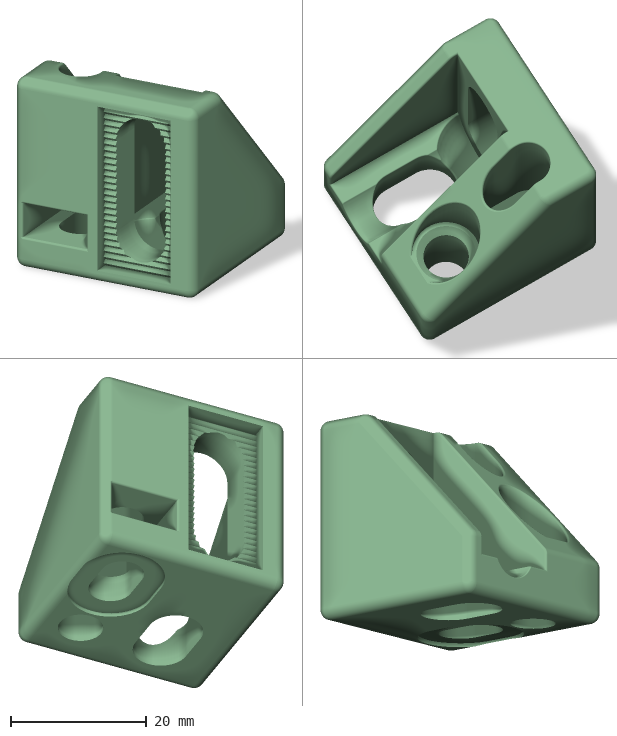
import cadquery as cq
import math

SIZE = 30.0
LAND = 9.0
EDGE_RADIUS = 1.5
EDGE_BREAK = 0.3
BORE_BREAK = 0.25
FLOOR_BREAK = 0.18
NEAR = 0.03

SMALL_X = 7.0
LARGE_X = 20.0

POCKET_WIDTH = 14.22
WALL = 8.0
FLOOR = 6.0

LARGE_SLOT_WIDTH = 8.22
FRONT_SLOT_LENGTH = 22.65
BASE_SLOT_LENGTH = 13.3
BASE_SLOT_Y = 19.65
DOME_RADIUS = 7.0

RECESS_HEIGHT = 26.0
TOOTH_COUNT = 26
TOOTH_PITCH = RECESS_HEIGHT / TOOTH_COUNT
TOOTH_HEIGHT = TOOTH_PITCH / 2
RECESS_WIDTH = 12.18
RECESS_DEPTH = 2.0

SMALL_SLOT_WIDTH = 6.48
SMALL_SLOT_LENGTH = 10.5
SMALL_SLOT_Y = 10.1
SLOT_RECESS_WIDTH = 12.65
SLOT_RECESS_DEPTH = 0.6

WINDOW_WIDTH = 10.65
WINDOW_HEIGHT = 5.43
WINDOW_BOTTOM = 4.98
WINDOW_DEPTH = 17.4

HOLE_Y = 22.3
HOLE_DIAMETER = 6.7
SEAT_DIAMETER = 8.75
SEAT_ANGLE = 45
COUNTERBORE_DIAMETER = 10.05
COUNTERBORE_FLOOR = 11.95


def box(x_range, y_range, z_range):
    """Axis-aligned block between the given limits."""
    (x0, x1), (y0, y1), (z0, z1) = x_range, y_range, z_range
    return cq.Workplane("XY").box(x1 - x0, y1 - y0, z1 - z0, centered=False).translate((x0, y0, z0))


def centred(middle, width):
    """Limits of a span of the given width around its middle."""
    return middle - width / 2, middle + width / 2


def upright_slot(x, y, length, width):
    """Slot along Y that passes vertically through the body."""
    return cq.Workplane("XY").center(x, y).slot2D(length, width, 90).extrude(SIZE)


def upright_cylinder(diameter, bottom, height):
    """Vertical cylinder on the axis of the counterbored hole."""
    return cq.Workplane("XY", origin=(SMALL_X, HOLE_Y, bottom)).circle(diameter / 2).extrude(height)


def edges_in(x_range, y_range, z_range):
    """Selector of the edges whose centre lies inside the given limits."""
    return cq.selectors.BoxSelector(*zip(x_range, y_range, z_range))


def grown(limits, margin):
    """Limits moved outwards by the margin at both ends."""
    return limits[0] - margin, limits[1] + margin


def make_body():
    profile = [(0, 0), (SIZE, 0), (SIZE, LAND), (LAND, SIZE), (0, SIZE)]
    return cq.Workplane("YZ").polyline(profile).close().extrude(SIZE).edges().fillet(EDGE_RADIUS)


def cut_pocket(body):
    """Pocket open to the top, slope and back, with its whole rim rounded."""
    across = centred(LARGE_X, POCKET_WIDTH)
    body = body.cut(box(across, (WALL, SIZE), (FLOOR, SIZE)))
    span_x = grown(across, NEAR)
    span_y = grown((WALL, SIZE), NEAR)
    span_z = grown((FLOOR, SIZE), NEAR)
    floor_edges = edges_in(span_x, (WALL - NEAR, SIZE - NEAR), grown((FLOOR, FLOOR), NEAR))
    wall_corners = edges_in(span_x, grown((WALL, WALL), NEAR), (FLOOR, SIZE - NEAR))
    return body.edges(edges_in(span_x, span_y, span_z) - floor_edges - wall_corners).fillet(EDGE_BREAK)


def cut_floor_openings(body):
    """Front slot, dome and base slot, rounded where they meet each other and the pocket floor."""
    body = (
        body.cut(make_front_slot())
        .cut(make_dome())
        .cut(upright_slot(LARGE_X, BASE_SLOT_Y, BASE_SLOT_LENGTH, LARGE_SLOT_WIDTH))
    )
    inside = edges_in(
        grown(centred(LARGE_X, POCKET_WIDTH), -NEAR),
        (WALL + NEAR, SIZE - EDGE_RADIUS),
        (FLOOR / 2 + NEAR, FLOOR + NEAR),
    )
    return body.edges(inside).fillet(FLOOR_BREAK)


def cut_small_slot(body):
    """Small vertical slot with a rounded upper mouth and a recess around the lower one."""
    body = body.cut(upright_slot(SMALL_X, SMALL_SLOT_Y, SMALL_SLOT_LENGTH, SMALL_SLOT_WIDTH))
    mouth = edges_in(
        grown(centred(SMALL_X, SMALL_SLOT_WIDTH), NEAR),
        grown(centred(SMALL_SLOT_Y, SMALL_SLOT_LENGTH), NEAR),
        (SIZE - LAND, SIZE + NEAR),
    )
    return body.edges(mouth).fillet(BORE_BREAK).cut(make_slot_recess())


def cut_window(body):
    """Nut window in the front face, from the end of the left edge rounding, with a rounded mouth."""
    span_x = (EDGE_RADIUS, EDGE_RADIUS + WINDOW_WIDTH)
    span_z = (WINDOW_BOTTOM, WINDOW_BOTTOM + WINDOW_HEIGHT)
    body = body.cut(box(span_x, (0, WINDOW_DEPTH), span_z))
    mouth = edges_in(grown(span_x, NEAR), (-NEAR, NEAR), grown(span_z, NEAR))
    return body.edges(mouth).fillet(EDGE_BREAK)


def make_front_slot():
    return (
        cq.Workplane("XZ")
        .center(LARGE_X, SIZE / 2)
        .slot2D(FRONT_SLOT_LENGTH, LARGE_SLOT_WIDTH, 90)
        .extrude(-SIZE)
    )


def make_dome():
    """Half ball behind the front wall, centred on the lower end of the front slot."""
    centre_z = (SIZE - FRONT_SLOT_LENGTH + LARGE_SLOT_WIDTH) / 2
    ball = cq.Workplane("XY").sphere(DOME_RADIUS).translate((LARGE_X, WALL, centre_z))
    return ball.intersect(box((0, SIZE), (WALL, SIZE), (0, SIZE)))


def make_toothed_recess():
    bottom = (SIZE - RECESS_HEIGHT) / 2
    root_depth = RECESS_DEPTH + TOOTH_HEIGHT
    profile = [(0, bottom), (root_depth, bottom)]
    for tooth in range(TOOTH_COUNT):
        root = bottom + tooth * TOOTH_PITCH
        profile.append((RECESS_DEPTH, root + TOOTH_PITCH / 2))
        profile.append((root_depth, root + TOOTH_PITCH))
    profile.append((0, bottom + RECESS_HEIGHT))
    left = LARGE_X - RECESS_WIDTH / 2
    return cq.Workplane("YZ", origin=(left, 0, 0)).polyline(profile).close().extrude(RECESS_WIDTH)


def make_slot_recess():
    """Shallow recess around the small slot in the bottom face."""
    length = SMALL_SLOT_LENGTH - SMALL_SLOT_WIDTH + SLOT_RECESS_WIDTH
    return (
        cq.Workplane("XY")
        .center(SMALL_X, SMALL_SLOT_Y)
        .slot2D(length, SLOT_RECESS_WIDTH, 90)
        .extrude(SLOT_RECESS_DEPTH)
    )


def cut_counterbored_hole(body):
    """Through hole with a conical seat below a counterbore that breaks out of the slope."""
    counterbore = upright_cylinder(COUNTERBORE_DIAMETER, 0, SIZE)
    rim = edges_in(
        centred(SMALL_X, COUNTERBORE_DIAMETER),
        centred(HOLE_Y, COUNTERBORE_DIAMETER),
        (NEAR, SIZE),
    )
    rounded_body = body.cut(counterbore).edges(rim).fillet(BORE_BREAK)
    head_room = body.cut(rounded_body).intersect(box((0, SIZE), (0, SIZE), (COUNTERBORE_FLOOR, SIZE)))

    seat_depth = (SEAT_DIAMETER - HOLE_DIAMETER) / 2 / math.tan(math.radians(SEAT_ANGLE))
    seat = (
        cq.Workplane("XY", origin=(SMALL_X, HOLE_Y, COUNTERBORE_FLOOR))
        .circle(SEAT_DIAMETER / 2)
        .extrude(-seat_depth, taper=SEAT_ANGLE)
    )
    return body.cut(head_room).cut(seat).cut(upright_cylinder(HOLE_DIAMETER, 0, SIZE))


result = make_body()
result = cut_counterbored_hole(result)
result = cut_pocket(result)
result = cut_floor_openings(result)
result = cut_window(result)
result = cut_small_slot(result)
result = result.cut(make_toothed_recess())